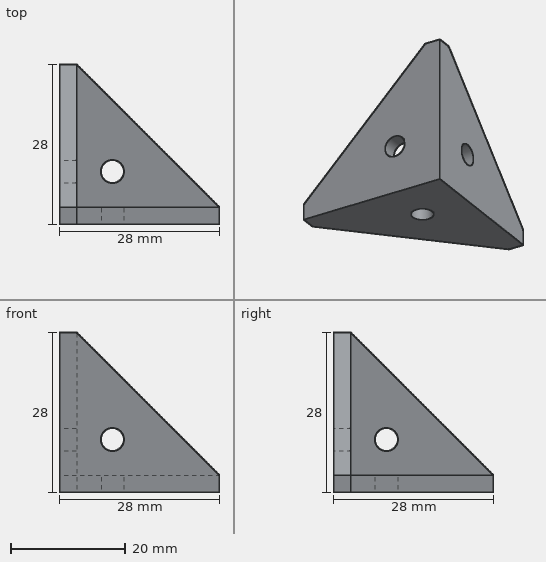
import cadquery as cq

leg_length = 28.0
plate_thickness = 3.0
hole_diameter = 4.0
hole_offset = 9.25


def corner_plate(plane, inward):
    """Triangular plate on an outer face; inward is the sign of the extrusion along the plane normal."""
    outline = [
        (0, 0),
        (leg_length, 0),
        (leg_length, plate_thickness),
        (plate_thickness, leg_length),
        (0, leg_length),
    ]
    depth = inward * plate_thickness
    plate = cq.Workplane(plane).polyline(outline).close().extrude(depth)
    hole = (
        cq.Workplane(plane)
        .center(hole_offset, hole_offset)
        .circle(hole_diameter / 2)
        .extrude(depth)
    )
    return plate.cut(hole)


floor = corner_plate("XY", 1)
front_wall = corner_plate("XZ", -1)
side_wall = corner_plate("YZ", 1)

result = floor.union(front_wall).union(side_wall)